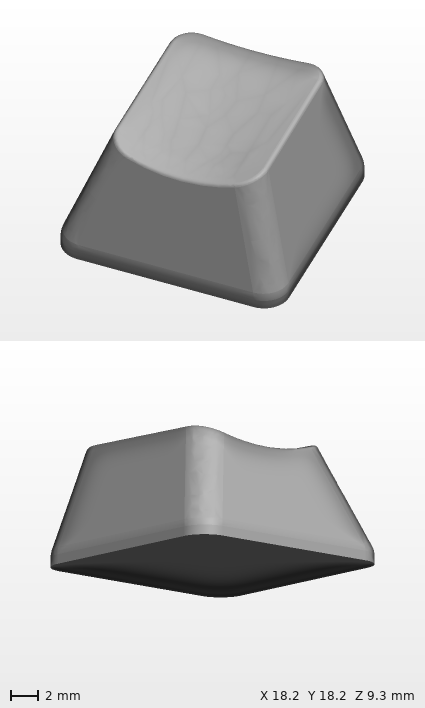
import cadquery as cq
import math

base_size = 18.16
half_base = base_size / 2
corner_radius = 2.0
bend_start = 0.73
bend_end = 1.3
bend_middle = (bend_start + bend_end) / 2
stock_height = 10.53
rim_radius = 0.33

side_lean = 20.3
front_lean = 21.4
back_lean = 4.6

dish_half_width = 7.26
dish_front_y = -10.9
dish_back_y = 10.9
dish_front_floor = 7.8
dish_back_floor = 8.97
dish_front_radius = 13.62
dish_back_radius = 43.58


def wall_inset(lean, height):
    """How far a wall has moved in at a height: upright, then a parabolic bend, then straight."""
    slope = math.tan(math.radians(lean))
    if height <= bend_end:
        return slope * (height - bend_start) ** 2 / (2 * (bend_end - bend_start))
    return slope * (height - bend_middle)


def rounded_section(height):
    """Rounded rectangle where a level plane meets the four walls."""
    half_width = half_base - wall_inset(side_lean, height)
    front_y = -half_base + wall_inset(front_lean, height)
    back_y = half_base - wall_inset(back_lean, height)
    return (
        cq.Sketch()
        .rect(2 * half_width, back_y - front_y)
        .vertices()
        .fillet(corner_radius)
        .moved(cq.Location(cq.Vector(0, (front_y + back_y) / 2, height)))
    )


def loft_between(heights, ruled):
    sections = [rounded_section(height) for height in heights]
    return cq.Workplane("XY").placeSketch(*sections).loft(ruled=ruled)


def dish_section(y, floor, radius):
    """Closed section above a concave arc whose lowest point is at the floor."""
    arc_rise = radius - math.sqrt(radius**2 - dish_half_width**2)
    cutter_top = stock_height + arc_rise
    left_end = cq.Vector(-dish_half_width, y, floor + arc_rise)
    right_end = cq.Vector(dish_half_width, y, floor + arc_rise)
    top_right = cq.Vector(dish_half_width, y, cutter_top)
    top_left = cq.Vector(-dish_half_width, y, cutter_top)
    return cq.Wire.assembleEdges([
        cq.Edge.makeThreePointArc(left_end, cq.Vector(0, y, floor), right_end),
        cq.Edge.makeLine(right_end, top_right),
        cq.Edge.makeLine(top_right, top_left),
        cq.Edge.makeLine(top_left, left_end),
    ])


def make_dish_cutter():
    front = dish_section(dish_front_y, dish_front_floor, dish_front_radius)
    back = dish_section(dish_back_y, dish_back_floor, dish_back_radius)
    return cq.Solid.makeLoft([front, back], True)


skirt = cq.Workplane("XY").placeSketch(rounded_section(bend_start)).extrude(-bend_start)
bend = loft_between([bend_start, bend_middle, bend_end], ruled=False)
walls = loft_between([bend_end, stock_height], ruled=True)
body = skirt.union(bend).union(walls)

body = body.cut(cq.Workplane(obj=make_dish_cutter()))
result = body.faces(">Z").edges().fillet(rim_radius)